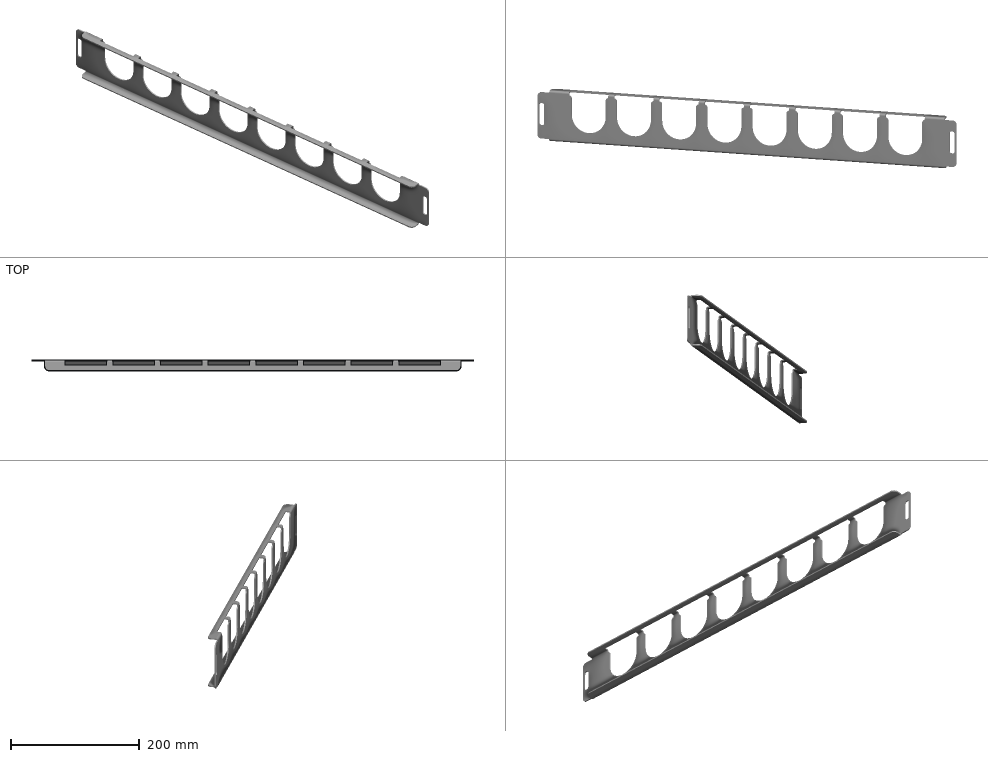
import cadquery as cq

length = 685.0
depth = 17.0
height = 80.0
thickness = 2.0
bend_radius = 3.5

web_height = height - 2 * bend_radius
web_corner_radius = 6.0

flange_end_gap = 19.0
flange_length = length - 2 * flange_end_gap
flange_corner_radius = 7.5

opening_count = 8
opening_pitch = 74.0
opening_width = 56.0
opening_bottom = -23.0

shoulder_radius = 4.0
relief_width = opening_width + 2 * shoulder_radius
relief_flange_depth = 8.0
relief_web_depth = 5.5

slot_width = 8.0
slot_height = 35.0
slot_center_x = length / 2 - 7.0
slot_center_z = 2.0
slot_corner_radius = 3.5

back = depth / 2
top = height / 2


def channel():
    """Bent C section with rounded outer flange corners."""
    outer = (
        cq.Workplane("XY")
        .box(flange_length, depth, height)
        .edges("|X and >Y")
        .fillet(bend_radius)
    )
    inner = (
        cq.Workplane("XY")
        .box(flange_length, depth, height - 2 * thickness)
        .edges("|X and >Y")
        .fillet(bend_radius - thickness)
        .translate((0, -thickness, 0))
    )
    return outer.cut(inner).edges("|Z and <Y").fillet(flange_corner_radius)


def web_plate():
    """Flat web over the full length, with rounded corners."""
    return (
        cq.Workplane("XY")
        .box(length, thickness, web_height)
        .edges("|Y")
        .fillet(web_corner_radius)
        .translate((0, back - thickness / 2, 0))
    )


def opening_cutter(x):
    """U-shaped web opening with rounded post shoulders and a wider relief across the upper bend."""
    half_width = opening_width / 2
    half_relief = relief_width / 2
    arc_center_z = opening_bottom + half_width
    shoulder_top = top - relief_web_depth
    shoulder_start = shoulder_top - shoulder_radius
    opening = (
        cq.Workplane("XZ", origin=(x, back, 0))
        .moveTo(-half_relief, top)
        .lineTo(-half_relief, shoulder_top)
        .radiusArc((-half_width, shoulder_start), shoulder_radius)
        .lineTo(-half_width, arc_center_z)
        .threePointArc((0, opening_bottom), (half_width, arc_center_z))
        .lineTo(half_width, shoulder_start)
        .radiusArc((half_relief, shoulder_top), shoulder_radius)
        .lineTo(half_relief, top)
        .close()
        .extrude(thickness)
    )
    flange_relief = (
        cq.Workplane("XY")
        .box(relief_width, relief_flange_depth, relief_web_depth)
        .translate((x, back - relief_flange_depth / 2, top - relief_web_depth / 2))
    )
    return opening.union(flange_relief)


def slot_cutter(x):
    """Upright slot through the web."""
    return (
        cq.Workplane("XY")
        .box(slot_width, depth, slot_height)
        .edges("|Y")
        .fillet(slot_corner_radius)
        .translate((x, back, slot_center_z))
    )


result = channel().union(web_plate())

for index in range(opening_count):
    opening_x = (index - (opening_count - 1) / 2) * opening_pitch
    result = result.cut(opening_cutter(opening_x))

for side in (-1, 1):
    result = result.cut(slot_cutter(side * slot_center_x))